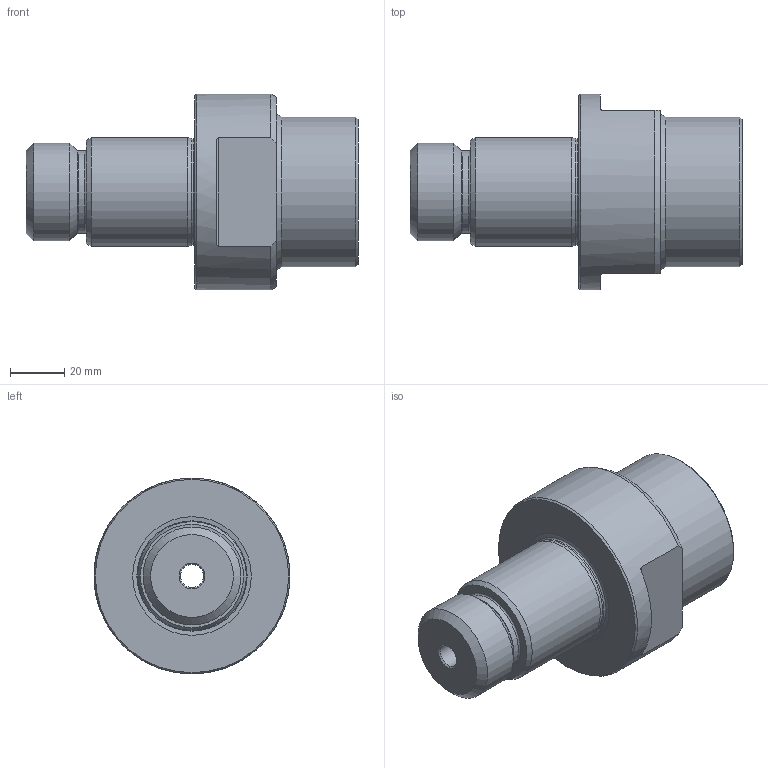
import cadquery as cq
import math

total_length = 122.0
pilot_shoulder = 16.15
journal_start = 22.2
flange_start = 62.0
flat_start = 70.0
flange_end = 92.0

pilot_radius = 18.0
neck_radius = 15.2
journal_radius = 20.0
flange_radius = 36.0
collar_radius = 27.5
bore_radius = 4.25

bevel_slope = math.tan(math.radians(30))
pilot_chamfer = 2.8
neck_fillet = 0.6
journal_lead_length = 1.8
journal_lead_depth = journal_lead_length * bevel_slope
flange_front_bevel_length = 0.8
flange_front_bevel_depth = flange_front_bevel_length * bevel_slope
flange_back_bevel_length = 2.0
flange_back_bevel_depth = flange_back_bevel_length * bevel_slope
collar_root_length = 2.0
collar_root_height = collar_root_length * bevel_slope
collar_end_chamfer = 0.8
bore_chamfer = 0.5

undercut_length = 2.6
undercut_depth = 0.35
undercut_ramp = 1.5
undercut_face_depth = 0.2
undercut_face_radius = 21.8
undercut_corner_radius = 0.6

across_flats = 60.0
flat_root_fillet = 0.8

ARC_INSET = 1 - math.sqrt(0.5)


def turned_body():
    """Revolve the stepped half outline about the X axis."""
    neck_cone_end = pilot_shoulder + pilot_radius - neck_radius
    cone_trim = neck_fillet * math.tan(math.radians(45 / 2))
    cone_trim_step = cone_trim * math.sqrt(0.5)
    neck_start = neck_cone_end + cone_trim
    undercut_start = flange_start - undercut_length
    undercut_radius = journal_radius - undercut_depth
    undercut_floor = flange_start + undercut_face_depth
    corner_inset = undercut_corner_radius * ARC_INSET
    neck_inset = neck_fillet * ARC_INSET
    return (
        cq.Workplane("XY")
        .moveTo(0, 0)
        .lineTo(0, pilot_radius - pilot_chamfer)
        .lineTo(pilot_chamfer, pilot_radius)
        .lineTo(pilot_shoulder, pilot_radius)
        .lineTo(neck_cone_end - cone_trim_step, neck_radius + cone_trim_step)
        .tangentArcPoint((neck_start, neck_radius), relative=False)
        .lineTo(journal_start - neck_fillet, neck_radius)
        .threePointArc(
            (journal_start - neck_inset, neck_radius + neck_inset),
            (journal_start, neck_radius + neck_fillet),
        )
        .lineTo(journal_start, journal_radius - journal_lead_depth)
        .lineTo(journal_start + journal_lead_length, journal_radius)
        .lineTo(undercut_start, journal_radius)
        .lineTo(undercut_start + undercut_ramp, undercut_radius)
        .lineTo(undercut_floor - undercut_corner_radius, undercut_radius)
        .threePointArc(
            (undercut_floor - corner_inset, undercut_radius + corner_inset),
            (undercut_floor, undercut_radius + undercut_corner_radius),
        )
        .lineTo(flange_start, undercut_face_radius)
        .lineTo(flange_start, flange_radius - flange_front_bevel_depth)
        .lineTo(flange_start + flange_front_bevel_length, flange_radius)
        .lineTo(flange_end - flange_back_bevel_length, flange_radius)
        .lineTo(flange_end, flange_radius - flange_back_bevel_depth)
        .lineTo(flange_end, collar_radius + collar_root_height)
        .lineTo(flange_end + collar_root_length, collar_radius)
        .lineTo(total_length - collar_end_chamfer, collar_radius)
        .lineTo(total_length, collar_radius - collar_end_chamfer)
        .lineTo(total_length, 0)
        .close()
        .revolve(360, (0, 0, 0), (1, 0, 0))
    )


def flat_cutter(side):
    """Block that removes one wrench flat on the given Y side."""
    length = flange_end - flat_start
    depth = flange_radius
    return (
        cq.Workplane("XY")
        .box(length, depth, 2 * flange_radius, centered=(False, True, True))
        .translate((flat_start, side * (across_flats + depth) / 2, 0))
        .edges("<X and |Z")
        .edges("<Y" if side > 0 else ">Y")
        .fillet(flat_root_fillet)
    )


def bore_cutter():
    """Through bore with a small chamfer at its pilot end."""
    bore = cq.Workplane("YZ").circle(bore_radius).extrude(total_length)
    countersink = cq.Solid.makeCone(
        bore_radius + bore_chamfer, bore_radius, bore_chamfer,
        pnt=cq.Vector(0, 0, 0), dir=cq.Vector(1, 0, 0),
    )
    return bore.union(cq.Workplane(countersink))


result = turned_body()
for flat_side in (-1, 1):
    result = result.cut(flat_cutter(flat_side))
result = result.cut(bore_cutter())